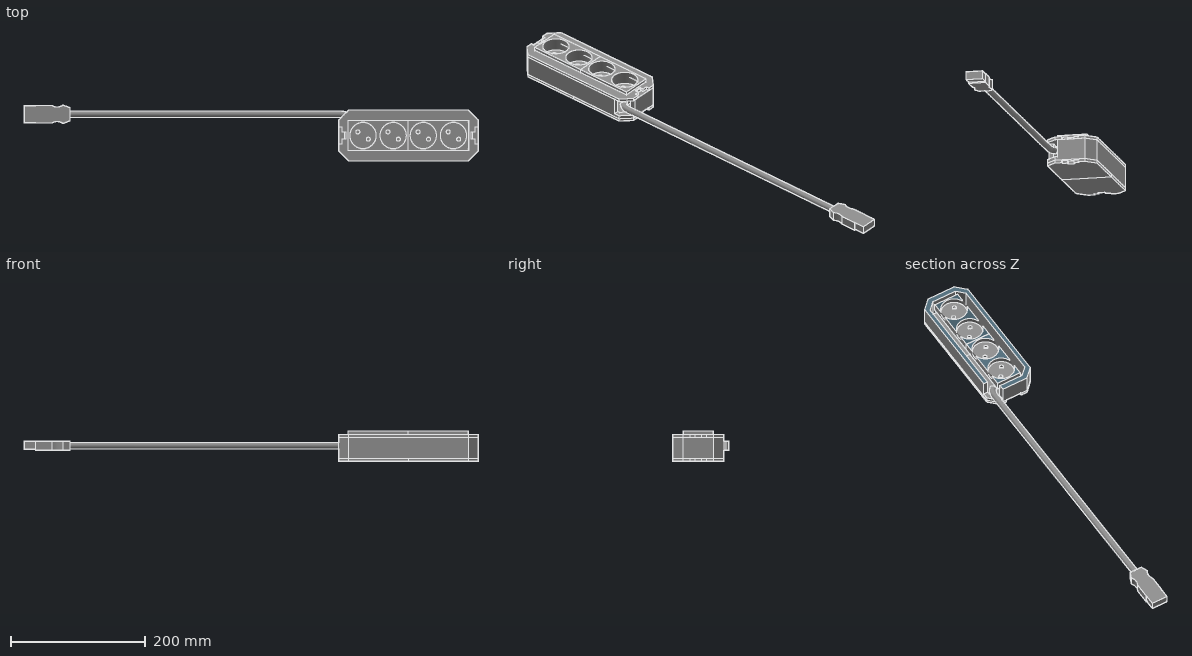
import cadquery as cq
import math


HOUSING_LENGTH = 208.0
HOUSING_WIDTH = 76.0
HOUSING_HEIGHT = 40.0
CORNER_CHAMFER = 15.0
COVER_THICKNESS = 4.4
END_WALL = 9.0
SIDE_WALL = 7.0
CAVITY_CHAMFER = 11.5

MOUTH_WIDTH = 25.0
MOUTH_DEPTH = 5.0
NECK_WIDTH = 10.0
NECK_REACH = 11.0
CLIP_THICKNESS = 2.0

OPENING_FLOOR_Z = 9.8
OPENING_INNER_Y = 19.2
OPENING_LENGTH = 24.0

MODULE_COUNT = 2
SOCKETS_PER_MODULE = 2
SOCKET_PITCH = 44.8
MODULE_WIDTH = 45.0
MODULE_RISE = 5.25
MODULE_BODY_WIDTH = 40.0
MODULE_FLOOR = 5.0
WINDOW_LENGTH = 180.0
SOCKET_DIAMETER = 39.0
SOCKET_DEPTH = 20.0
PIN_HOLE_DIAMETER = 6.0
PIN_SPACING = 19.0
PIN_ANGLE = math.radians(-35)

TOTAL_LENGTH = 675.61
PLUG_HEIGHT = 14.0
NOSE_LENGTH = 17.0
NOSE_STEP = 1.8
NOSE_INSET = 0.3
WAIST_START = 41.5
BULGE_POSITION = 58.0
PLUG_LENGTH = 68.5
PLUG_HALF_WIDTH = 13.1
WAIST_HALF_WIDTH = 11.0
BULGE_HALF_WIDTH = 13.825
END_HALF_WIDTH = 9.8

CABLE_DIAMETER = 10.0
CABLE_Y = 31.625
CABLE_Z = 23.0
CABLE_BEND_START = 2.6
CABLE_BEND_RADIUS = 20.0
CABLE_BEND_ANGLE = math.radians(45)

half_length = HOUSING_LENGTH / 2
half_width = HOUSING_WIDTH / 2
core_bottom = COVER_THICKNESS
core_top = HOUSING_HEIGHT - COVER_THICKNESS
module_length = SOCKETS_PER_MODULE * SOCKET_PITCH
module_top = HOUSING_HEIGHT + MODULE_RISE
module_bottom = module_top - SOCKET_DEPTH - MODULE_FLOOR
plug_tip_x = half_length - TOTAL_LENGTH
plug_end_x = plug_tip_x + PLUG_LENGTH
plug_bottom = CABLE_Z - PLUG_HEIGHT / 2
plug_top = plug_bottom + PLUG_HEIGHT


def box(x_range, y_range, z_range):
    """Block that fills the given ranges along X, Y and Z."""
    sizes = [high - low for low, high in (x_range, y_range, z_range)]
    corner = (x_range[0], y_range[0], z_range[0])
    return cq.Workplane("XY").box(*sizes, centered=False).translate(corner)


def chamfered_block(length, width, chamfer, bottom, top):
    """Centred block with its four upright edges chamfered."""
    block = box((-length / 2, length / 2), (-width / 2, width / 2), (bottom, top))
    return block.edges("|Z").chamfer(chamfer)


def housing_block(bottom, top):
    return chamfered_block(HOUSING_LENGTH, HOUSING_WIDTH, CORNER_CHAMFER, bottom, top)


def make_core():
    """Frame with an open middle and a corner opening for the cable."""
    cavity = chamfered_block(
        HOUSING_LENGTH - 2 * END_WALL, HOUSING_WIDTH - 2 * SIDE_WALL, CAVITY_CHAMFER, core_bottom, core_top
    )
    opening = box(
        (-half_length, -half_length + OPENING_LENGTH),
        (OPENING_INNER_Y, half_width),
        (OPENING_FLOOR_Z, core_top),
    )
    return housing_block(core_bottom, core_top).cut(cavity).cut(opening)


def make_notched_cover(bottom):
    """Cover plate with a stepped notch in both ends."""
    top = bottom + COVER_THICKNESS
    cover = housing_block(bottom, top)
    for width, depth in ((MOUTH_WIDTH, MOUTH_DEPTH), (NECK_WIDTH, NECK_REACH)):
        y_range = (-width / 2, width / 2)
        cover = cover.cut(box((-half_length, -half_length + depth), y_range, (bottom, top)))
        cover = cover.cut(box((half_length - depth, half_length), y_range, (bottom, top)))
    return cover


def make_top_cover():
    """Notched cover with a window for the socket modules."""
    window = box(
        (-WINDOW_LENGTH / 2, WINDOW_LENGTH / 2),
        (-MODULE_WIDTH / 2, MODULE_WIDTH / 2),
        (core_top, HOUSING_HEIGHT),
    )
    return make_notched_cover(core_top).cut(window)


def make_bottom_cover_half(side):
    """Half of the bottom cover on the -X (-1) or +X (+1) side of the middle."""
    x_range = sorted((0, side * half_length))
    half = box(x_range, (-half_width, half_width), (0, COVER_THICKNESS))
    return make_notched_cover(0).intersect(half)


def make_clip(side):
    """Small plate at the inner end of a notch neck in the top cover."""
    inner_x = half_length - NECK_REACH
    x_range = sorted((side * inner_x, side * (inner_x + CLIP_THICKNESS)))
    return box(x_range, (-NECK_WIDTH / 2, NECK_WIDTH / 2), (core_top, HOUSING_HEIGHT))


def make_module(index):
    """Module with round sockets, each with two pin holes; the row starts at the -X end of the window."""
    start_x = index * module_length - WINDOW_LENGTH / 2
    x_range = (start_x, start_x + module_length)
    module = box(x_range, (-MODULE_WIDTH / 2, MODULE_WIDTH / 2), (core_top, module_top))
    body = box(x_range, (-MODULE_BODY_WIDTH / 2, MODULE_BODY_WIDTH / 2), (module_bottom, core_top))
    module = module.union(body)

    socket_centers = [(start_x + (i + 0.5) * SOCKET_PITCH, 0) for i in range(SOCKETS_PER_MODULE)]
    pin_x = PIN_SPACING / 2 * math.cos(PIN_ANGLE)
    pin_y = PIN_SPACING / 2 * math.sin(PIN_ANGLE)
    pin_centers = [(x + sign * pin_x, sign * pin_y) for x, _ in socket_centers for sign in (-1, 1)]

    upper_plane = cq.Workplane("XY", origin=(0, 0, module_top))
    sockets = upper_plane.pushPoints(socket_centers).circle(SOCKET_DIAMETER / 2).extrude(-SOCKET_DEPTH)
    lower_plane = cq.Workplane("XY", origin=(0, 0, module_bottom))
    pin_holes = lower_plane.pushPoints(pin_centers).circle(PIN_HOLE_DIAMETER / 2).extrude(MODULE_FLOOR)
    return module.cut(sockets).cut(pin_holes)


def make_plug():
    """Flat plug with a curved waist, a tapered cable end and a nose set in at its sides and underside."""
    waist_middle = (WAIST_START + BULGE_POSITION) / 2
    plug = (
        cq.Workplane("XY", origin=(plug_tip_x, CABLE_Y, plug_bottom))
        .moveTo(0, -PLUG_HALF_WIDTH)
        .lineTo(WAIST_START, -PLUG_HALF_WIDTH)
        .threePointArc((waist_middle, -WAIST_HALF_WIDTH), (BULGE_POSITION, -BULGE_HALF_WIDTH))
        .lineTo(PLUG_LENGTH, -END_HALF_WIDTH)
        .lineTo(PLUG_LENGTH, END_HALF_WIDTH)
        .lineTo(BULGE_POSITION, BULGE_HALF_WIDTH)
        .threePointArc((waist_middle, WAIST_HALF_WIDTH), (WAIST_START, PLUG_HALF_WIDTH))
        .lineTo(0, PLUG_HALF_WIDTH)
        .close()
        .extrude(PLUG_HEIGHT)
    )
    nose_end_x = plug_tip_x + NOSE_LENGTH
    nose_half_width = PLUG_HALF_WIDTH - NOSE_INSET
    nose = box(
        (plug_tip_x, nose_end_x),
        (CABLE_Y - nose_half_width, CABLE_Y + nose_half_width),
        (plug_bottom + NOSE_STEP, plug_top),
    )
    tip = box(
        (plug_tip_x, nose_end_x),
        (CABLE_Y - PLUG_HALF_WIDTH, CABLE_Y + PLUG_HALF_WIDTH),
        (plug_bottom, plug_top),
    )
    return plug.cut(tip.cut(nose))


def make_cable():
    """Round cable from the plug to the corner opening, where it bends into the housing."""
    bend_x = CABLE_BEND_RADIUS * math.sin(CABLE_BEND_ANGLE)
    bend_y = CABLE_BEND_RADIUS * (math.cos(CABLE_BEND_ANGLE) - 1)
    path = (
        cq.Workplane("XY", origin=(0, 0, CABLE_Z))
        .moveTo(plug_end_x, CABLE_Y)
        .lineTo(-half_length + CABLE_BEND_START, CABLE_Y)
        .tangentArcPoint((bend_x, bend_y))
    )
    section = cq.Workplane("YZ", origin=(plug_end_x, CABLE_Y, CABLE_Z)).circle(CABLE_DIAMETER / 2)
    return section.sweep(path)


core = make_core()
top_cover = make_top_cover()
bottom_cover_halves = [make_bottom_cover_half(side) for side in (-1, 1)]
clips = [make_clip(side) for side in (-1, 1)]
modules = [make_module(index) for index in range(MODULE_COUNT)]
plug = make_plug()
cable = make_cable()

bodies = [core, top_cover, *bottom_cover_halves, *clips, *modules, plug, cable]
result = cq.Compound.makeCompound([body.val() for body in bodies])